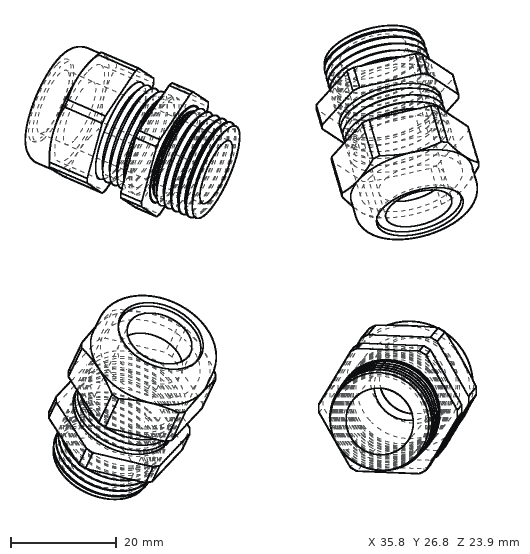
import cadquery as cq
import math


length = 35.8
recess_depth = 0.7
body_start = 6.4
cap_hex_start = 6.3
cap_end = 15.25
collar_start = 22.45
collar_end = 26.95

across_flats = 23.9
corner_diameter = 26.75
hex_bevel_angle = 60.0

dome_radius = 11.92
dome_fillet = 2.85
recess_mouth_radius = 8.5
recess_floor_radius = 8.27
bore_radius = 6.48

crest_radius = 10.0
root_radius = 8.77
pitch = 1.55
front_grooves = 5
front_first_root = cap_end + pitch / 2
rear_grooves = 6
rear_first_root = 27.65
rear_end_radius = 9.78

undercut_radius = 0.5
undercut_floor_radius = 8.85


def revolved(profile):
    """Turn a closed (x, radius) profile fully around the X axis."""
    return profile.close().revolve(360, (0, 0, 0), (1, 0, 0))


def cylinder(radius, start, end):
    return cq.Workplane("YZ").workplane(offset=start).circle(radius).extrude(end - start)


def hexagon(start, end):
    """Hexagonal prism with flats at +Z and -Z and its corners trimmed to a cylinder."""
    corner_to_corner = across_flats / math.cos(math.radians(30))
    prism = cq.Workplane("YZ").workplane(offset=start).polygon(6, corner_to_corner).extrude(end - start)
    return prism.intersect(cylinder(corner_diameter / 2, start, end))


def bevelled_hexagon(start, end):
    """Hexagon whose front corners are cut back by a cone starting at the dome."""
    corner_radius = corner_diameter / 2
    bevel_length = (corner_radius - dome_radius) / math.tan(math.radians(hex_bevel_angle))
    envelope = revolved(
        cq.Workplane("XZ")
        .moveTo(start, 0)
        .lineTo(start, dome_radius)
        .lineTo(start + bevel_length, corner_radius)
        .lineTo(end, corner_radius)
        .lineTo(end, 0)
    )
    return hexagon(start, end).intersect(envelope)


def make_cap():
    diagonal = dome_fillet * math.sqrt(0.5)
    dome = revolved(
        cq.Workplane("XZ")
        .lineTo(0, dome_radius - dome_fillet)
        .threePointArc(
            (dome_fillet - diagonal, dome_radius - dome_fillet + diagonal),
            (dome_fillet, dome_radius),
        )
        .lineTo(cap_hex_start, dome_radius)
        .lineTo(cap_hex_start, 0)
    )
    recess = revolved(
        cq.Workplane("XZ")
        .lineTo(0, recess_mouth_radius)
        .lineTo(recess_depth, recess_floor_radius)
        .lineTo(recess_depth, 0)
    )
    bore = cylinder(bore_radius, 0, cap_end)
    socket = cylinder(crest_radius, body_start, cap_end)
    return dome.union(bevelled_hexagon(cap_hex_start, cap_end)).cut(recess).cut(bore).cut(socket)


def v_groove(root):
    """Ring with a triangular section, one pitch wide at the crest radius."""
    return revolved(
        cq.Workplane("XZ")
        .moveTo(root - pitch / 2, crest_radius)
        .lineTo(root, root_radius)
        .lineTo(root + pitch / 2, crest_radius)
    )


def rear_shank():
    """Cylinder up to the first full crest, then a slight taper to the rear end."""
    first_crest = rear_first_root + pitch / 2
    return revolved(
        cq.Workplane("XZ")
        .moveTo(collar_end, 0)
        .lineTo(collar_end, crest_radius)
        .lineTo(first_crest, crest_radius)
        .lineTo(length, rear_end_radius)
        .lineTo(length, 0)
    )


def undercut():
    """Ring cut behind the collar whose floor curves up into the first rear groove."""
    center_radius = undercut_floor_radius + undercut_radius
    diagonal = undercut_radius * math.sqrt(0.5)
    return revolved(
        cq.Workplane("XZ")
        .moveTo(collar_end, undercut_floor_radius)
        .threePointArc(
            (collar_end + diagonal, center_radius - diagonal),
            (collar_end + undercut_radius, center_radius),
        )
        .lineTo(collar_end + undercut_radius, crest_radius)
        .lineTo(collar_end, crest_radius)
    )


def make_body():
    front_shank = cylinder(crest_radius, body_start, collar_start)
    solid = front_shank.union(hexagon(collar_start, collar_end)).union(rear_shank())
    for i in range(front_grooves):
        solid = solid.cut(v_groove(front_first_root + i * pitch))
    solid = solid.cut(undercut())
    for i in range(rear_grooves):
        solid = solid.cut(v_groove(rear_first_root + i * pitch))
    return solid.cut(cylinder(bore_radius, body_start, length))


cap = make_cap()
body = make_body()
result = cq.Compound.makeCompound([cap.val(), body.val()])